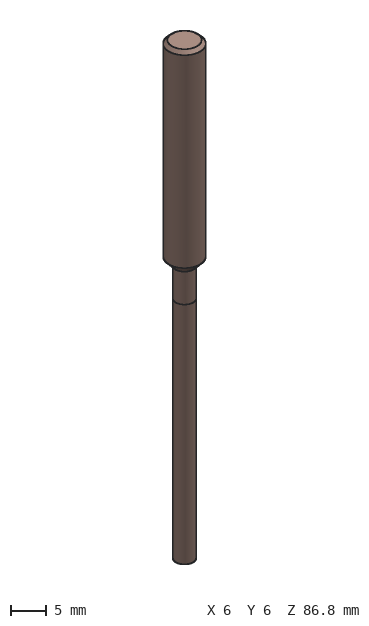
import cadquery as cq

TOTAL_LENGTH = 86.8

SHANK_DIAMETER = 6.0
SHANK_LENGTH = 36.0
TOP_CHAMFER = 0.6
TAPER_HEIGHT = 1.5

DRILL_DIAMETER = 3.3
CUTTING_LENGTH = 43.8
POINT_HEIGHT = 0.6

shank_radius = SHANK_DIAMETER / 2
drill_radius = DRILL_DIAMETER / 2
half_length = TOTAL_LENGTH / 2
top = half_length
tip = -half_length
joint = tip + CUTTING_LENGTH
shank_bottom = top - SHANK_LENGTH


def make_shank():
    """Chamfered shank that tapers down to a slim neck."""
    profile = (
        cq.Workplane("XZ")
        .moveTo(0, joint)
        .lineTo(drill_radius, joint)
        .lineTo(drill_radius, shank_bottom - TAPER_HEIGHT)
        .lineTo(shank_radius, shank_bottom)
        .lineTo(shank_radius, top - TOP_CHAMFER)
        .lineTo(shank_radius - TOP_CHAMFER, top)
        .lineTo(0, top)
        .close()
    )
    return profile.revolve(360, (0, 0), (0, 1))


def make_cutting_section():
    """Plain cylindrical cutting section with a conical point."""
    profile = (
        cq.Workplane("XZ")
        .moveTo(0, tip)
        .lineTo(drill_radius, tip + POINT_HEIGHT)
        .lineTo(drill_radius, joint)
        .lineTo(0, joint)
        .close()
    )
    return profile.revolve(360, (0, 0), (0, 1))


shank = make_shank()
cutting_section = make_cutting_section()

result = cq.Compound.makeCompound([shank.val(), cutting_section.val()])